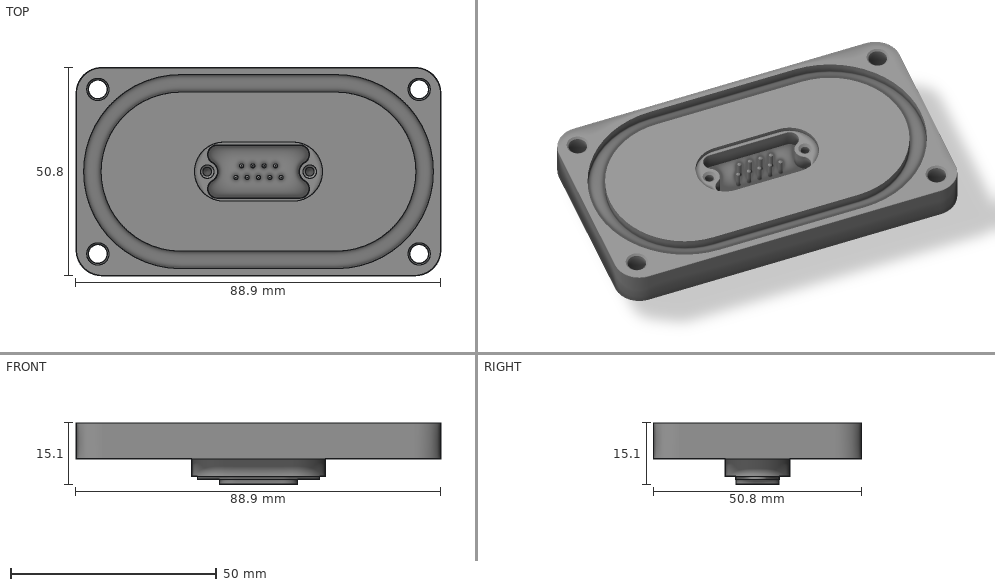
import cadquery as cq
import math


plate_length = 88.9
plate_width = 50.8
plate_height = 8.8
plate_corner_radius = 6.3
plate_edge_chamfer = 0.1
mount_spacing_x = 78.3
mount_spacing_y = 40.1
mount_diameter = 4.5
mount_chamfer = 0.45

groove_length = 85.25
groove_outer_width = 47.3
groove_band = 4.3
groove_depth = 2.8
groove_fillet = 0.3

boss_length = 32.6
boss_width = 15.7
boss_height = 4.3

ledge_length = 31.2
ledge_width = 14.4
ledge_depth = 1.2
cavity_length = 24.6
cavity_width = 12.8
cavity_depth = 4.45
lobe_radius = 2.2
cavity_mouth_chamfer = 0.1

screw_spacing = 25.0
screw_diameter = 2.1
screw_mouth_diameter = 3.3
screw_depth = 4.45
drill_tip_angle = 118.0

pin_diameter = 1.0
pin_tip_chamfer = 0.45
pin_base_fillet = 0.3
pin_length = 4.45
pin_pitch = 2.8
pin_row_spacing = 2.85
pins_in_front_row = 5
pins_in_back_row = 4

flange_thickness = 0.7
flange_width = 10.7
flange_corner_radius = 3.7
flange_ear_radius = 2.4
shell_height = 2.0
shell_width = 10.6
shell_corner_radius = 3.7
shell_front_flat = 11.6
shell_side_angle = 10.0

boss_bottom = -boss_height
ledge_level = plate_height - ledge_depth
cavity_floor = ledge_level - cavity_depth
screw_x = screw_spacing / 2
shell_corner_y = shell_width / 2 - shell_corner_radius
shell_front_corner_x = shell_front_flat / 2
shell_side_lean = math.tan(math.radians(shell_side_angle))
shell_back_corner_x = shell_front_corner_x - 2 * shell_corner_y * shell_side_lean


def stadium(length, width, bottom, height):
    """Upright prism with round ends along X."""
    return cq.Workplane("XY", origin=(0, 0, bottom)).slot2D(length, width).extrude(height)


def on_circle(center, radius, degrees):
    angle = math.radians(degrees)
    return (center[0] + radius * math.cos(angle), center[1] + radius * math.sin(angle))


def mirrored_copies(quarter):
    """A quarter solid at +X +Y, completed across both centre planes."""
    half = quarter.union(quarter.mirror("YZ"))
    return half.union(half.mirror("XZ"))


def make_plate():
    plate = cq.Workplane("XY").box(plate_length, plate_width, plate_height, centered=(True, True, False))
    plate = plate.edges("|Z").fillet(plate_corner_radius)
    plate = plate.faces(">Z").edges().chamfer(plate_edge_chamfer)
    return plate.cut(make_groove())


def make_groove():
    floor = plate_height - groove_depth
    island_length = groove_length - 2 * groove_band
    island_width = groove_outer_width - 2 * groove_band
    groove = stadium(groove_length, groove_outer_width, floor, groove_depth)
    groove = groove.cut(stadium(island_length, island_width, floor, groove_depth))
    return groove.faces("<Z").edges().fillet(groove_fillet)


def cut_mount_holes(body):
    holes = body.faces(">Z").workplane(origin=(0, 0, plate_height))
    holes = holes.rect(mount_spacing_x, mount_spacing_y, forConstruction=True).vertices()
    mouth_diameter = mount_diameter + 2 * mount_chamfer
    return holes.cskHole(mount_diameter, mouth_diameter, cskAngle=90)


def make_cavity():
    """Pocket whose four corner lobes run tangentially into a notch around each screw hole."""
    lobe_x = cavity_length / 2 - lobe_radius
    lobe_y = cavity_width / 2 - lobe_radius
    to_screw = math.degrees(math.atan2(-lobe_y, screw_x - lobe_x))
    from_screw = 180 + to_screw
    notch_radius = math.hypot(screw_x - lobe_x, lobe_y) - lobe_radius
    lobe = (lobe_x, lobe_y)
    quarter = (
        cq.Workplane("XY", origin=(0, 0, cavity_floor))
        .lineTo(0, cavity_width / 2)
        .lineTo(lobe_x, cavity_width / 2)
        .threePointArc(on_circle(lobe, lobe_radius, 0), on_circle(lobe, lobe_radius, to_screw))
        .threePointArc(
            on_circle((screw_x, 0), notch_radius, (from_screw + 180) / 2),
            (screw_x - notch_radius, 0),
        )
        .close()
        .extrude(cavity_depth)
    )
    return mirrored_copies(quarter)


def make_screw_hole(x):
    """Blind drilled hole with a conical tip and a countersunk mouth."""
    radius = screw_diameter / 2
    mouth_radius = screw_mouth_diameter / 2
    tip_depth = radius / math.tan(math.radians(drill_tip_angle / 2))
    return (
        cq.Workplane("XZ", origin=(x, 0, ledge_level))
        .lineTo(mouth_radius, 0)
        .lineTo(radius, radius - mouth_radius)
        .lineTo(radius, -screw_depth)
        .lineTo(0, -screw_depth - tip_depth)
        .close()
        .revolve(360, (0, 0), (0, 1))
    )


def make_pin(x, y):
    """Pin with a pointed tip and a flared base."""
    radius = pin_diameter / 2
    foot_radius = radius + pin_base_fillet
    flare_middle = on_circle((foot_radius, pin_base_fillet), pin_base_fillet, 225)
    return (
        cq.Workplane("XZ", origin=(x, y, cavity_floor))
        .lineTo(foot_radius, 0)
        .threePointArc(flare_middle, (radius, pin_base_fillet))
        .lineTo(radius, pin_length - pin_tip_chamfer)
        .lineTo(radius - pin_tip_chamfer, pin_length)
        .lineTo(0, pin_length)
        .close()
        .revolve(360, (0, 0), (0, 1))
    )


def add_pin_row(body, count, y):
    for index in range(count):
        x = (index - (count - 1) / 2) * pin_pitch
        body = body.union(make_pin(x, y))
    return body


def chamfer_cavity_mouth(body):
    """Break the edge between the cavity wall and the ledge."""
    reach = (cavity_length / 2, cavity_width / 2)
    margin = 0.1
    mouth = cq.selectors.BoxSelector(
        (-reach[0], -reach[1] - margin, ledge_level - margin),
        (reach[0], reach[1] + margin, ledge_level + margin),
    )
    return body.edges(mouth).chamfer(cavity_mouth_chamfer)


def make_flange():
    """Plate whose straight edges run from the middle corners to a round ear at each screw."""
    corner = (shell_front_corner_x, flange_width / 2 - flange_corner_radius)
    ear = (screw_x, 0)
    slope = math.atan2(ear[1] - corner[1], ear[0] - corner[0])
    distance = math.hypot(ear[0] - corner[0], ear[1] - corner[1])
    spread = math.acos((flange_corner_radius - flange_ear_radius) / distance)
    edge_normal = math.degrees(slope + spread)
    quarter = (
        cq.Workplane("XY", origin=(0, 0, boss_bottom))
        .lineTo(0, flange_width / 2)
        .lineTo(corner[0], flange_width / 2)
        .threePointArc(
            on_circle(corner, flange_corner_radius, (90 + edge_normal) / 2),
            on_circle(corner, flange_corner_radius, edge_normal),
        )
        .lineTo(*on_circle(ear, flange_ear_radius, edge_normal))
        .threePointArc(
            on_circle(ear, flange_ear_radius, edge_normal / 2),
            on_circle(ear, flange_ear_radius, 0),
        )
        .close()
        .extrude(-flange_thickness)
    )
    return mirrored_copies(quarter)


def make_shell():
    """D-shaped block, wider toward -Y."""
    front = (shell_front_corner_x, -shell_corner_y)
    back = (shell_back_corner_x, shell_corner_y)
    radius = shell_corner_radius
    half = (
        cq.Workplane("XY", origin=(0, 0, boss_bottom))
        .moveTo(0, -shell_width / 2)
        .lineTo(front[0], -shell_width / 2)
        .threePointArc(on_circle(front, radius, -45), on_circle(front, radius, shell_side_angle))
        .lineTo(*on_circle(back, radius, shell_side_angle))
        .threePointArc(on_circle(back, radius, 45), on_circle(back, radius, 90))
        .lineTo(0, shell_width / 2)
        .close()
        .extrude(-shell_height)
    )
    return half.union(half.mirror("YZ"))


body = cut_mount_holes(make_plate())
body = body.union(stadium(boss_length, boss_width, boss_bottom, boss_height))
body = body.union(make_flange()).union(make_shell())
body = body.cut(stadium(ledge_length, ledge_width, ledge_level, ledge_depth))
body = chamfer_cavity_mouth(body.cut(make_cavity()))
for side in (-1, 1):
    body = body.cut(make_screw_hole(side * screw_x))
body = add_pin_row(body, pins_in_front_row, -pin_row_spacing / 2)
body = add_pin_row(body, pins_in_back_row, pin_row_spacing / 2)
result = body.clean()